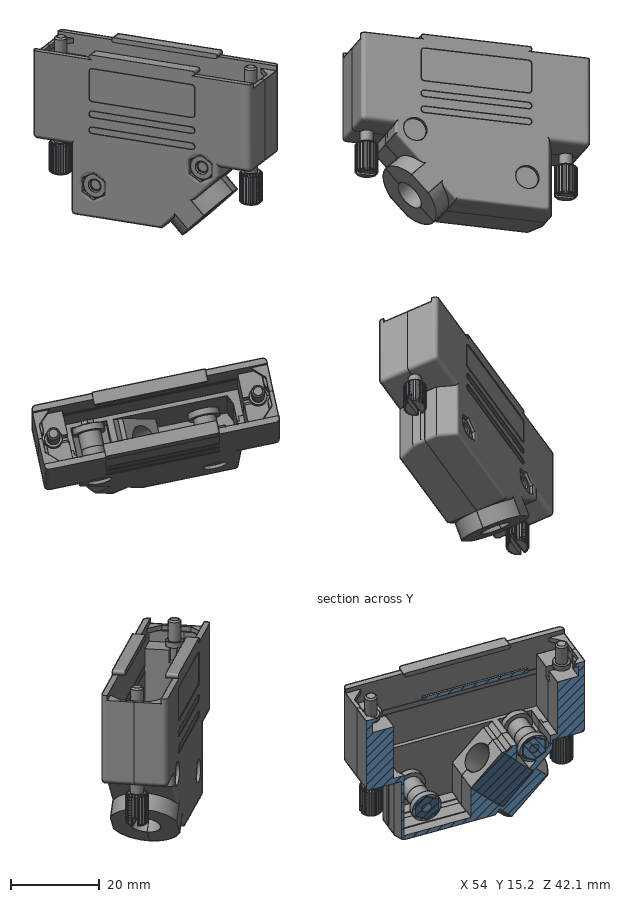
import cadquery as cq
import math

thickness = 15.15
face_y = thickness / 2

head_width = 54.0
head_height = 21.1
head_radius = 1.0
rim_inner_y = 6.17
end_wall_drop = 1.15
flange_groove_top_z = -9.0
flange_groove_bottom_z = -10.4
flange_groove_depth = 0.1
wall_inner_y = 5.17
cavity_half_width = 20.16
cavity_floor_z = -19.5

body_left_x = -19.16
body_right_x = 19.1
body_bottom_z = -37.8
body_top_z = -15.0
body_edge_radius = 0.6
body_corner_radius = 0.8
flank_inset = 1.95
flank_start_y = 3.05
left_wall = 0.65
right_wall = 0.7
bottom_wall = 1.3
diagonal_wall = 1.5
inner_flank_inset = 1.0
diagonal_offset = 42.6
lip_height = 1.08
lip_width = 0.5
floor_channel_half_width = 2.54
floor_channel_left_x = -16.5
floor_channel_depth = 0.2

outlet_center = (13.38, 0, -35.05)
outlet_diameter = 16.15
outlet_length = 4.15
outlet_root = 1.0
cable_diameter = 7.1
clamp_width = 10.8
clamp_length = 10.95
shoulder_width = 1.1
shoulder_wall_right_x = 10.2

tab_half_width = 13.07
tab_height = 1.15
tab_inner_y = 4.66
tab_radius = 0.57

recess_depth = 0.2
label_top_z = -2.14
label_height = 7.9
label_radius = 0.8
grip_centers_z = (-13.08, -16.93)
grip_height = 1.55

jack_x = 23.52
seat_z = -4.9
seat_wall_x = 25.4
lid_thickness = 1.1
lid_opening_x = 26.05
lid_opening_y = 3.28
jack_relief_radius = 2.6
seat_slot_y = (-0.6, 1.08)
seat_slot_depth = 3.0

jack_shaft_diameter = 3.1
jack_tip_diameter = 2.85
jack_tip_z = 1.38
jack_tip_chamfer = 0.4
collar_diameter = 4.0
collar_height = 1.3
knob_diameter = 5.2
knob_top_z = -23.75
knob_bottom_z = -31.1
knob_chamfer = 0.45
knurl_count = 20
knurl_width = 0.35
knurl_depth = 0.3
driver_slot_width = 1.05
driver_slot_depth = 2.0

bolt_places = ((-12.0, -30.4), (14.47, -21.96))
post_diameter = 5.2
cup_diameter = 7.2
cup_inner_y = 3.7
bolt_diameter = 2.5
bolt_head_diameter = 5.5
bolt_head_height = 2.2
fastener_sink = 0.8
bolt_tip_sink = 0.8
nut_flats = 5.5
nut_height = 2.4
nut_hole_countersink = 0.3
nut_corner_chamfer = 0.3
pocket_flats = 5.6
pocket_dish_depth = 0.2


def span_box(x, y, z):
    """Box between pairs of limits."""
    sizes = [limits[1] - limits[0] for limits in (x, y, z)]
    return cq.Workplane("XY").box(*sizes, centered=False).translate((x[0], y[0], z[0]))


def rod(x, z, diameter, y_from, y_to):
    """Cylinder along Y."""
    length = y_to - y_from
    return cq.Workplane("XZ", origin=(x, y_to, z)).circle(diameter / 2).extrude(length)


def cone(x, z, radius_front, radius_back, y_front, y_back):
    """Truncated cone along Y."""
    points = [(0, y_front), (radius_front, y_front), (radius_back, y_back), (0, y_back)]
    profile = cq.Workplane("XY").polyline(points).close()
    return profile.revolve(360, (0, 0, 0), (0, 1, 0)).translate((x, 0, z))


def hexagon(x, z, flats, y_from, y_to):
    """Hexagonal prism along Y with two corners on the vertical axis."""
    prism = cq.Workplane("XZ").polygon(6, flats / math.cos(math.pi / 6)).extrude(y_to - y_from)
    return prism.rotate((0, 0, 0), (0, 1, 0), 90).translate((x, y_to, z))


def outline_prism(points, half_depth):
    """Prism along Y, symmetric about the parting plane, from an XZ outline."""
    return cq.Workplane("XZ").polyline(points).close().extrude(half_depth, both=True)


def flanked_plan(left_x, inset, half_y):
    """Vertical prism whose left end tapers towards both broad faces."""
    points = [
        (body_right_x, -half_y),
        (left_x + inset, -half_y),
        (left_x, -flank_start_y),
        (left_x, flank_start_y),
        (left_x + inset, half_y),
        (body_right_x, half_y),
    ]
    prism = cq.Workplane("XY").polyline(points).close().extrude(body_bottom_z)
    return prism


def body_outline(left_x, right_x, bottom_z, top_z, diagonal):
    """XZ outline of the cable end with its slanted lower right corner."""
    return [
        (left_x, top_z),
        (right_x, top_z),
        (right_x, right_x - diagonal),
        (bottom_z + diagonal, bottom_z),
        (left_x, bottom_z),
    ]


outlet_plane = cq.Plane(origin=outlet_center, xDir=(0, 1, 0), normal=(-1, 0, 1))


def along_outlet(start):
    """Workplane across the cable, a given distance inwards from the outlet mouth."""
    return cq.Workplane(outlet_plane).workplane(offset=start)


head = span_box((-head_width / 2, head_width / 2), (-face_y, face_y), (-head_height, 0))
head = head.edges("not >Z").fillet(head_radius)

body = outline_prism(
    body_outline(body_left_x, body_right_x, body_bottom_z, body_top_z, diagonal_offset), face_y
)
body = body.intersect(flanked_plan(body_left_x, flank_inset, face_y))
left_end = cq.selectors.BoxSelector(
    (body_left_x - 1, -face_y, body_bottom_z - 1), (body_left_x + flank_inset, face_y, body_bottom_z + 1)
)
body = body.faces("<Z").edges(left_end).fillet(body_corner_radius)
body = body.faces("<Y or >Y").edges().fillet(body_edge_radius)

outlet = along_outlet(0).circle(outlet_diameter / 2).extrude(outlet_length + outlet_root)
outlet = outlet.intersect(cq.Workplane("XY").box(4 * head_width, thickness, 4 * head_width))

shell = head.union(body).union(outlet)

inner_outline = body_outline(
    body_left_x + left_wall,
    body_right_x - right_wall,
    body_bottom_z + bottom_wall,
    cavity_floor_z,
    diagonal_offset - diagonal_wall * math.sqrt(2),
)
lower_cavity = outline_prism(inner_outline, wall_inner_y)
lower_cavity = lower_cavity.intersect(
    flanked_plan(body_left_x + left_wall, inner_flank_inset, wall_inner_y)
)
clamp_face_drop = (outlet_length + clamp_length) / math.sqrt(2)
clamp_half_span = clamp_width / 2 / math.sqrt(2)
clamp_left_x = outlet_center[0] - clamp_face_drop - clamp_half_span
clamp_left_z = outlet_center[2] + clamp_face_drop - clamp_half_span
clamp_right_x = clamp_left_x + 2 * clamp_half_span
clamp_top_z = clamp_left_z + 2 * clamp_half_span
shoulder_rise = cavity_floor_z - clamp_top_z
shoulder_x = clamp_right_x + shoulder_width
cable_block = outline_prism(
    [
        (clamp_left_x, body_bottom_z),
        (clamp_left_x, clamp_left_z),
        (clamp_right_x, clamp_top_z),
        (shoulder_x, clamp_top_z),
        (shoulder_x + shoulder_rise, cavity_floor_z),
        (shoulder_wall_right_x, cavity_floor_z),
        (shoulder_wall_right_x, body_bottom_z),
    ],
    face_y,
)
lower_cavity = lower_cavity.cut(cable_block)

cavity_x = (-cavity_half_width, cavity_half_width)
upper_cavity = span_box(cavity_x, (-rim_inner_y, rim_inner_y), (cavity_floor_z, 0))
flange_groove_y = rim_inner_y + flange_groove_depth
flange_groove = span_box(
    cavity_x, (-flange_groove_y, flange_groove_y), (flange_groove_bottom_z, flange_groove_top_z)
)
end_notch = span_box(
    (-head_width / 2, head_width / 2), (-rim_inner_y, rim_inner_y), (-end_wall_drop, 0)
)
floor_channel = span_box(
    (floor_channel_left_x, clamp_left_x),
    (-floor_channel_half_width, floor_channel_half_width),
    (body_bottom_z + bottom_wall - floor_channel_depth, body_bottom_z + bottom_wall),
)
for void in (lower_cavity, upper_cavity, flange_groove, end_notch, floor_channel):
    shell = shell.cut(void)

clamp_block = along_outlet(outlet_length).rect(2 * wall_inner_y, clamp_width).extrude(clamp_length)
cable_passage = along_outlet(0).circle(cable_diameter / 2).extrude(outlet_length + clamp_length)
shell = shell.cut(clamp_block).cut(cable_passage)


def seat_void(side):
    """Open space around one jackscrew; side is -1 for left and +1 for right."""
    lid_bottom_z = -end_wall_drop - lid_thickness
    pocket = span_box(
        (cavity_half_width, seat_wall_x), (-rim_inner_y, rim_inner_y), (seat_z, lid_bottom_z)
    )
    chamfer_start_x = lid_opening_x - (rim_inner_y - lid_opening_y)
    opening_points = [
        (cavity_half_width, -rim_inner_y),
        (chamfer_start_x, -rim_inner_y),
        (lid_opening_x, -lid_opening_y),
        (lid_opening_x, lid_opening_y),
        (chamfer_start_x, rim_inner_y),
        (cavity_half_width, rim_inner_y),
    ]
    opening = cq.Workplane("XY", origin=(0, 0, lid_bottom_z)).polyline(opening_points).close()
    opening = opening.extrude(-lid_bottom_z)
    relief = cq.Workplane("XY", origin=(jack_x, 0, seat_z)).circle(jack_relief_radius)
    relief = relief.extrude(-seat_z)
    bore = cq.Workplane("XY", origin=(jack_x, 0, -head_height)).circle(jack_shaft_diameter / 2)
    bore = bore.extrude(head_height)
    slot = span_box((cavity_half_width, jack_x), seat_slot_y, (seat_z - seat_slot_depth, seat_z))
    void = pocket.union(opening).union(relief).union(bore).union(slot)
    return void if side > 0 else void.mirror("YZ")


for side in (-1, 1):
    shell = shell.cut(seat_void(side))

for x, z in bolt_places:
    shell = shell.union(rod(x, z, post_diameter, -wall_inner_y, wall_inner_y))
    for cup_y in ((-wall_inner_y, -cup_inner_y), (cup_inner_y, wall_inner_y)):
        shell = shell.union(rod(x, z, cup_diameter, *cup_y))

nut_outer_y = -face_y + fastener_sink
nut_seat_y = nut_outer_y + nut_height
head_outer_y = face_y - fastener_sink
head_seat_y = head_outer_y - bolt_head_height
for x, z in bolt_places:
    dish = cone(x, z, cup_diameter / 2, pocket_flats / 2, -face_y, -face_y + pocket_dish_depth)
    shell = shell.cut(rod(x, z, bolt_diameter, -face_y, face_y))
    shell = shell.cut(hexagon(x, z, pocket_flats, -face_y, nut_seat_y))
    shell = shell.cut(dish)
    shell = shell.cut(rod(x, z, bolt_head_diameter, head_seat_y, face_y))

for tab_y in ((-face_y, -tab_inner_y), (tab_inner_y, face_y)):
    tab = span_box((-tab_half_width, tab_half_width), tab_y, (0, tab_height))
    shell = shell.union(tab.edges("|Y").fillet(tab_radius))

for recess_y in ((-face_y, -face_y + recess_depth), (face_y - recess_depth, face_y)):
    label = span_box(
        (-tab_half_width, tab_half_width), recess_y, (label_top_z - label_height, label_top_z)
    )
    shell = shell.cut(label.edges("|Y").fillet(label_radius))
    for grip_z in grip_centers_z:
        grip = cq.Workplane("XZ", origin=(0, recess_y[1], grip_z))
        grip = grip.slot2D(2 * tab_half_width, grip_height).extrude(recess_depth)
        shell = shell.cut(grip)

room = 2 * head_width
front_space = span_box((-room, room), (-face_y, 0), (-room, room))
lip_zone = cq.Workplane("XZ").polyline(inner_outline).close().offset2D(lip_width)
lip_zone = lip_zone.extrude(-lip_height)
for x, z in bolt_places:
    lip_zone = lip_zone.cut(rod(x, z, post_diameter, 0, lip_height))
lip_zone = lip_zone.cut(cable_block)
front_space = front_space.union(lip_zone)
front_half = shell.intersect(front_space)
back_half = shell.cut(front_space)


def cable_clamp(side):
    """Half of the split cable clamp; side is -1 for front and +1 for back."""
    y_limits = (-wall_inner_y, 0) if side < 0 else (0, wall_inner_y)
    half_space = span_box((-room, room), y_limits, (-room, room))
    return clamp_block.cut(cable_passage).intersect(half_space)


def jackscrew(x):
    """Knurled thumbscrew with a captive collar and a driver slot."""
    shaft = cq.Workplane("XY", origin=(0, 0, knob_top_z)).circle(jack_shaft_diameter / 2)
    shaft = shaft.extrude(seat_z - knob_top_z)
    tip = cq.Workplane("XY", origin=(0, 0, seat_z)).circle(jack_tip_diameter / 2)
    tip = tip.extrude(jack_tip_z - seat_z).faces(">Z").chamfer(jack_tip_chamfer)
    collar = cq.Workplane("XY", origin=(0, 0, seat_z)).circle(collar_diameter / 2)
    collar = collar.extrude(collar_height)
    knob_height = knob_top_z - knob_bottom_z
    knob = cq.Workplane("XY", origin=(0, 0, knob_bottom_z)).circle(knob_diameter / 2)
    knob = knob.extrude(knob_height).faces("<Z or >Z").chamfer(knob_chamfer)
    knurls = cq.Workplane("XY", origin=(0, 0, knob_bottom_z))
    knurls = knurls.polarArray(knob_diameter / 2, 0, 360, knurl_count)
    knurls = knurls.rect(2 * knurl_depth, knurl_width).extrude(knob_height)
    driver_slot = span_box(
        (-knob_diameter, knob_diameter),
        (-driver_slot_width / 2, driver_slot_width / 2),
        (knob_bottom_z, knob_bottom_z + driver_slot_depth),
    )
    screw = knob.cut(knurls).cut(driver_slot).union(shaft).union(collar).union(tip)
    return screw.translate((x, 0, 0))


def clamping_bolt(x, z):
    """Cylinder-head bolt passing through a post from the back."""
    bolt_head = rod(x, z, bolt_head_diameter, head_seat_y, head_outer_y)
    return bolt_head.union(rod(x, z, bolt_diameter, nut_outer_y + bolt_tip_sink, head_seat_y))


def nut(x, z):
    """Hexagon nut with chamfered corners and a countersunk hole."""
    corner_radius = nut_flats / 2 / math.cos(math.pi / 6)
    blank = rod(x, z, 2 * corner_radius, nut_outer_y, nut_seat_y)
    blank = blank.faces("<Y").chamfer(nut_corner_chamfer, corner_radius - nut_flats / 2)
    hole_radius = bolt_diameter / 2
    countersink = cone(
        x, z, hole_radius + nut_hole_countersink, hole_radius,
        nut_outer_y, nut_outer_y + nut_hole_countersink,
    )
    body_prism = hexagon(x, z, nut_flats, nut_outer_y, nut_seat_y).intersect(blank)
    return body_prism.cut(rod(x, z, bolt_diameter, nut_outer_y, nut_seat_y)).cut(countersink)


clamps = [cable_clamp(side) for side in (-1, 1)]
jackscrews = [jackscrew(side * jack_x) for side in (-1, 1)]
bolts = [clamping_bolt(x, z) for x, z in bolt_places]
nuts = [nut(x, z) for x, z in bolt_places]
bodies = [front_half, back_half, *clamps, *jackscrews, *bolts, *nuts]
result = cq.Compound.makeCompound([solid for body_part in bodies for solid in body_part.solids().vals()])